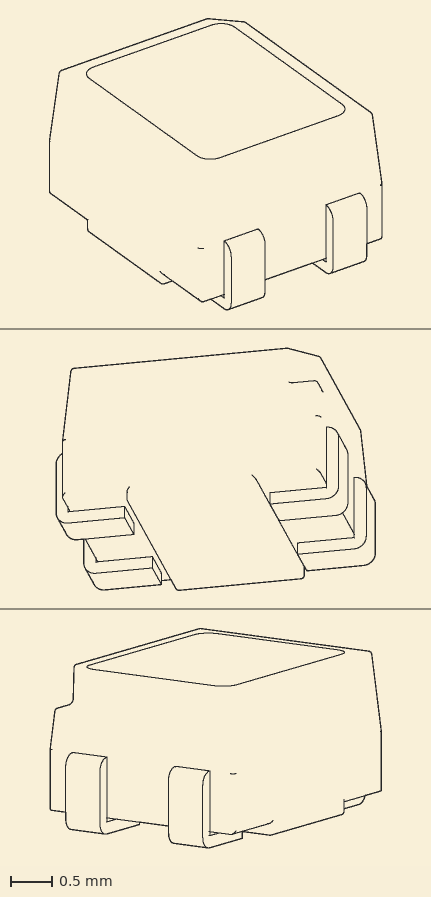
import cadquery as cq
import math

overall_length = 3.5
overall_height = 1.94
body_width = 2.71

lead_thickness = 0.15
lead_width = 0.5
lead_pitch = 1.5
lead_top = 0.95
foot_inner_end = 0.9

body_length = overall_length - 2 * lead_thickness
body_bottom = 0.2
pedestal_length = 1.6
pedestal_bottom = 0.05
draft_start = lead_top
draft_angle = 5.0
edge_radius = 0.05

tolerance = 0.0005

notch_leg = 0.5
notch_floor = 1.452

lens_length = 2.653
lens_width = 2.142
lens_corner_radius = 0.2
lens_depth = overall_height - notch_floor


def lower_housing():
    """Straight-sided lower half with the narrower pedestal beneath it."""
    half_body = body_length / 2
    half_pedestal = pedestal_length / 2
    return (
        cq.Workplane("XZ")
        .moveTo(-half_body, draft_start)
        .lineTo(-half_body, body_bottom)
        .lineTo(-half_pedestal, body_bottom)
        .lineTo(-half_pedestal, pedestal_bottom)
        .lineTo(half_pedestal, pedestal_bottom)
        .lineTo(half_pedestal, body_bottom)
        .lineTo(half_body, body_bottom)
        .lineTo(half_body, draft_start)
        .close()
        .extrude(body_width / 2, both=True)
    )


def upper_housing():
    """Upper half whose four walls lean inward by the draft angle."""
    return (
        cq.Workplane("XY")
        .workplane(offset=draft_start)
        .rect(body_length, body_width)
        .extrude(overall_height - draft_start, taper=draft_angle)
    )


def polarity_notch():
    """Triangular prism removed from the marked corner, open at the top."""
    corner_x = -body_length / 2
    corner_y = body_width / 2
    return (
        cq.Workplane("XY")
        .workplane(offset=notch_floor)
        .moveTo(corner_x, corner_y)
        .lineTo(corner_x + notch_leg, corner_y)
        .lineTo(corner_x, corner_y - notch_leg)
        .close()
        .extrude(overall_height - notch_floor)
    )


def is_level_at(edge, height):
    """True for an edge that lies wholly at the given height."""
    box = edge.BoundingBox()
    return max(abs(box.zmin - height), abs(box.zmax - height)) < tolerance


def runs_diagonally(edge):
    """True for an edge that crosses the marked corner, parallel to the notch wall."""
    box = edge.BoundingBox()
    return min(box.xlen, box.ylen) > notch_leg / 2


def runs_along_y(edge):
    """True for an edge parallel to the Y axis."""
    box = edge.BoundingBox()
    return max(box.xlen, box.zlen) < tolerance


def round_edges(block, is_rounded):
    """Fillet the edges of the block that pass the given test."""
    edges = [edge for edge in block.edges().vals() if is_rounded(edge)]
    return block.newObject(edges).fillet(edge_radius)


def rounded_lower_housing():
    """Lower half, rounded except at the draft line and the edges along Y under the body."""

    def is_rounded(edge):
        under_body = is_level_at(edge, body_bottom) and runs_along_y(edge)
        return not under_body and not is_level_at(edge, draft_start)

    return round_edges(lower_housing(), is_rounded)


def rounded_upper_housing():
    """Upper half with the notch: a fillet at the foot of its wall, then all outer edges."""

    def is_notch_root(edge):
        return is_level_at(edge, notch_floor) and runs_diagonally(edge)

    def is_outer_edge(edge):
        bounds_root_fillet = edge.BoundingBox().zmax < overall_height - tolerance and runs_diagonally(edge)
        return not bounds_root_fillet and not is_level_at(edge, draft_start)

    notched = upper_housing().cut(polarity_notch())
    return round_edges(round_edges(notched, is_notch_root), is_outer_edge)


def make_lead(side, y):
    """One lead: a wall strip with rounded bends and a foot turned inward."""
    wall_x = body_length / 2
    outer_x = overall_length / 2
    bend = lead_thickness
    bend_offset = bend * math.sqrt(0.5)
    profile = (
        cq.Workplane("XZ")
        .moveTo(side * wall_x, lead_top)
        .threePointArc(
            (side * (wall_x + bend_offset), lead_top - bend + bend_offset),
            (side * outer_x, lead_top - bend),
        )
        .lineTo(side * outer_x, bend)
        .threePointArc(
            (side * (wall_x + bend_offset), bend - bend_offset),
            (side * wall_x, 0),
        )
        .lineTo(side * foot_inner_end, 0)
        .lineTo(side * foot_inner_end, lead_thickness)
        .lineTo(side * wall_x, lead_thickness)
        .close()
    )
    return profile.extrude(lead_width / 2, both=True).translate((0, y, 0))


def make_lens():
    """Rounded rectangular lens, flush with the top of the housing."""
    return (
        cq.Workplane("XY")
        .workplane(offset=overall_height - lens_depth)
        .rect(lens_length, lens_width)
        .extrude(lens_depth)
        .edges("|Z")
        .fillet(lens_corner_radius)
        .solids()
    )


def make_housing():
    """Housing with its four leads joined on and the recess that holds the lens."""
    housing = rounded_lower_housing().union(rounded_upper_housing())
    for side in (-1, 1):
        for y in (-lead_pitch / 2, lead_pitch / 2):
            housing = housing.union(make_lead(side, y))
    return housing.cut(make_lens()).solids()


housing = make_housing()
lens = make_lens()
result = cq.Compound.makeCompound([housing.val(), lens.val()])